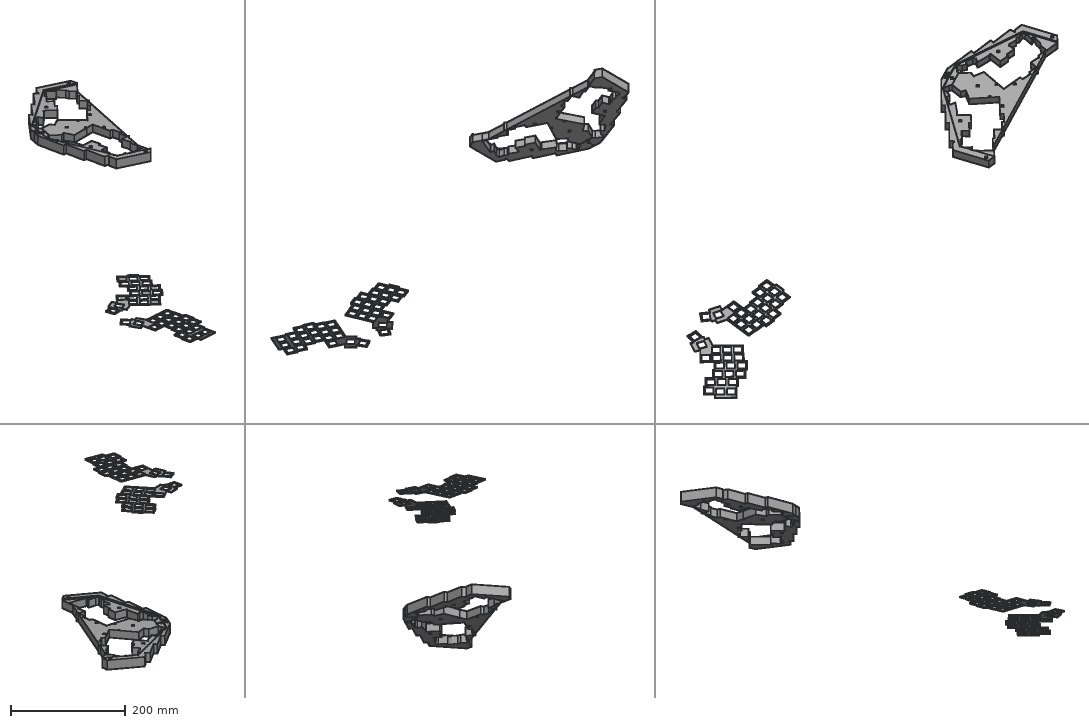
import cadquery as cq
import math

frame_height = 15.0
rim_height = 18.0
hole_diameter = 5.0
small_hole_diameter = 3.0
rim_hole_floor = 7.0

plate_thickness = 1.5
key_pitch = 19.0
key_opening = 14.0
column_overlap = 0.5
column_width = key_pitch + column_overlap
column_tilt = 23.0
plate_mirror_sum = 1400.0

front_half_width = 14.0
outer_x = 160.0
rim_inner_x = 147.0
case_depth = 155.0
seam_y = 21.0
seam_half_width = 15.0
arm_end = [(121.0, 142.0), (120.0, 143.0)]

outer_edge = [
    (0, 0), (front_half_width, 0), (69.0, 23.0), (66.0, 29.0), (106.0, 45.0), (103.0, 51.0),
    (142.0, 67.0), (140.0, 77.0), (145.0, 75.0), (outer_x, 82.0), (outer_x, 149.0), (rim_inner_x, case_depth),
]
rim_inner_edge = [(rim_inner_x, 90.0), (30.0, 10.0), (0, 9.0)]

side_window_edge = [
    (146.0, 112.0), (146.0, 110.0), (138.0, 110.0), (146.0, 95.0), (146.0, 89.0), (135.0, 88.0),
    (131.0, 84.0), (126.0, 86.0), (112.0, 78.0), (109.0, 79.0), (105.0, 91.0), (88.0, 83.0),
    (86.0, 87.0), (68.0, 79.0), (79.0, 55.0), (74.0, 55.0), (51.0, 42.0), (59.0, 36.0), (56.0, 31.0),
    (45.0, 22.0), (40.0, 27.0), (34.0, 20.0), (32.0, 12.0), (30.0, 10.0), (28.0, 11.0), (18.0, 17.0),
    (seam_half_width, seam_y), (0, seam_y),
]
left_rear_corner = [(124.0, 142.0), (129.0, 131.0), (135.0, 127.0), (140.0, 118.0)]
right_rear_corner = [(132.0, 146.0), (140.0, 128.0)]

centre_rear_edge = [(84.0, 143.0), (80.0, 146.0), (77.0, 143.0)]
centre_window_edge = [
    (seam_half_width, seam_y), (24.0, 41.0), (18.0, 48.0), (34.0, 61.0), (10.0, 109.0), (46.0, 125.0),
    (44.0, 131.0), (61.0, 139.0), (63.0, 135.0), (80.0, 142.0), (86.0, 129.0), (104.0, 138.0), (106.0, 135.0),
]

pad_hole = (89.0, 66.0)
centre_hole = (0, 63.0)
corner_hole = (28.0, 122.0)
waist_hole = (15.0, 93.0)
seam_hole = (0, 15.0)
rim_holes = [(5.0, 5.0), (154.0, 142.0)]

column_centres = [(574.0, -88.0), (593.0, -93.0), (616.0, -88.0), (635.0, -93.0), (650.0, -105.0), (667.0, -113.0)]
column_rows = [1, 0, -1]
thumb_key = (635.0, -140.0)
turned_thumb_key = (661.0, -158.0)
turned_thumb_tilt = 43.0
turned_thumb_width = 21.0
turned_thumb_length = 34.0
last_thumb_key = (674.0, -176.0)
last_thumb_tilt = 60.0
thumb_bridge = (669.0, -165.0)
thumb_bridge_width = 12.0
left_strip = 4.0
right_strip = 8.0
right_key_shift = 3.0


def mirrored(points):
    return [(-x, y) for x, y in points]


def prism(points, height):
    return cq.Workplane("XY").polyline(points).close().extrude(height)


def drill(points, diameter, floor=0.0):
    tool = cq.Workplane("XY").workplane(offset=floor).pushPoints(points)
    return tool.circle(diameter / 2).extrude(rim_height)


def side_frame(rear_corner):
    """Right-hand frame: flat inner part, with a raised rim along the outside."""
    flat_part = prism(outer_edge + arm_end[::-1] + rear_corner + side_window_edge, frame_height)
    rim = prism(outer_edge + rim_inner_edge, rim_height)
    frame = flat_part.union(rim)
    frame = frame.cut(drill([pad_hole, seam_hole], hole_diameter))
    return frame.cut(drill(rim_holes, hole_diameter, rim_hole_floor))


def centre_frame():
    half = centre_window_edge + arm_end + centre_rear_edge
    frame = prism(half + mirrored(half)[::-1], frame_height)
    corner_holes = [corner_hole] + mirrored([corner_hole])
    waist_holes = [waist_hole] + mirrored([waist_hole])
    frame = frame.cut(drill([centre_hole] + corner_holes, hole_diameter))
    return frame.cut(drill(waist_holes, small_hole_diameter))


def block(centre, width, length, tilt):
    """Flat rectangle turned clockwise by tilt degrees."""
    flat = cq.Workplane("XY").rect(width, length).extrude(plate_thickness)
    return flat.rotate((0, 0, 0), (0, 0, 1), -tilt).translate((*centre, 0))


def along_key(centre, across, up):
    """Point moved from centre along the tilted row and column directions."""
    c = math.cos(math.radians(column_tilt))
    s = math.sin(math.radians(column_tilt))
    return (centre[0] + across * c + up * s, centre[1] - across * s + up * c)


def key_plate(strip_rows, strip, key_shift):
    """Left-hand plate; the outermost keys in strip_rows are wider by strip."""
    cells = []
    openings = []
    for column, middle in enumerate(column_centres):
        for row in column_rows:
            key = along_key(middle, 0, row * key_pitch)
            cells.append(block(key, column_width, key_pitch, column_tilt))
            if column == 0 and row in strip_rows:
                edge = along_key(key, -strip / 2, 0)
                cells.append(block(edge, column_width + strip, key_pitch, column_tilt))
                key = along_key(key, -key_shift, 0)
            openings.append(block(key, key_opening, key_opening, column_tilt))

    joining_square = along_key(thumb_key, key_pitch, 0)
    cells.append(block(thumb_key, column_width, key_pitch, column_tilt))
    cells.append(block(joining_square, column_width, key_pitch, column_tilt))
    cells.append(block(turned_thumb_key, turned_thumb_width, turned_thumb_length, turned_thumb_tilt))
    cells.append(block(thumb_bridge, thumb_bridge_width, key_pitch, turned_thumb_tilt))
    cells.append(block(last_thumb_key, key_pitch, key_pitch, last_thumb_tilt))
    openings.append(block(thumb_key, key_opening, key_opening, column_tilt))
    openings.append(block(turned_thumb_key, key_opening, key_opening, turned_thumb_tilt))
    openings.append(block(last_thumb_key, key_opening, key_opening, last_thumb_tilt))

    plate = cells[0]
    for cell in cells[1:]:
        plate = plate.union(cell)
    for opening in openings:
        plate = plate.cut(opening)
    return plate


right_frame = side_frame(right_rear_corner)
left_frame = side_frame(left_rear_corner).mirror("YZ")
centre = centre_frame()
left_plate = key_plate([0], left_strip, 0)
right_plate = key_plate([1, 0], right_strip, right_key_shift).mirror("YZ")
right_plate = right_plate.translate((plate_mirror_sum, 0, 0))

result = cq.Compound.makeCompound([
    left_frame.val(),
    right_frame.val(),
    centre.val(),
    left_plate.val(),
    right_plate.val(),
])